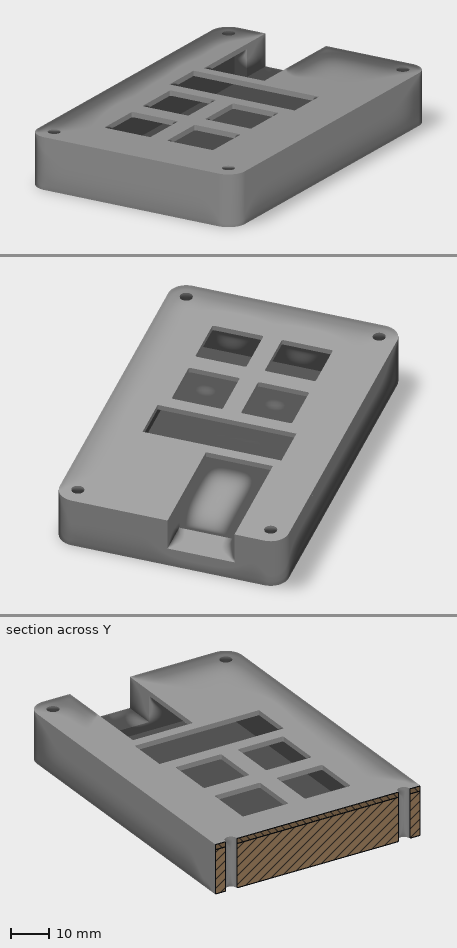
import cadquery as cq

width = 63.0
length = 97.3
height = 14.6
corner_radius = 5.0
lid_thickness = 1.5
base_height = height - lid_thickness

screw_diameter = 3.4
screw_pitch_x = width - 2 * corner_radius
screw_pitch_y = length - 2 * corner_radius

wall = 9.4
floor_thickness = 2.9
cavity_width = width - 2 * wall
cavity_length = length - 2 * wall

slot_width = 18.4
slot_length = 30.9
slot_center_x = -9.05
slot_floor = 5.45

panel_center_x = -0.5
display_width = 38.1
display_length = 12.2
display_center_y = 8.7
button_size = 14.0
button_corner_radius = 0.5
button_pitch = 19.1
button_center_y = -17.7
buttons_per_side = 2


def rounded_plate(bottom, thickness):
    """Plate with the outline of the case, drilled for the four screws."""
    return (
        cq.Workplane("XY")
        .workplane(offset=bottom)
        .rect(width, length)
        .extrude(thickness)
        .edges("|Z")
        .fillet(corner_radius)
        .faces(">Z")
        .workplane(origin=(0, 0, bottom + thickness))
        .rect(screw_pitch_x, screw_pitch_y, forConstruction=True)
        .vertices()
        .hole(screw_diameter)
    )


def upright_block(size_x, size_y, center_x, center_y, bottom):
    """Cutting block from the given level up to the top of the case."""
    return (
        cq.Workplane("XY")
        .workplane(offset=bottom)
        .center(center_x, center_y)
        .rect(size_x, size_y)
        .extrude(height - bottom)
    )


def connector_slot(slot_reach, bottom):
    """Cutting block running inward from the back edge."""
    return upright_block(slot_width, slot_reach, slot_center_x, (length - slot_reach) / 2, bottom)


def button_openings():
    """Square grid of button cutters with slightly rounded corners."""
    return (
        cq.Workplane("XY")
        .workplane(offset=base_height)
        .center(panel_center_x, button_center_y)
        .rarray(button_pitch, button_pitch, buttons_per_side, buttons_per_side)
        .rect(button_size, button_size)
        .extrude(lid_thickness)
        .edges("|Z")
        .fillet(button_corner_radius)
    )


def make_base():
    """Tray with a cavity and a notch through the back wall."""
    cavity = upright_block(cavity_width, cavity_length, 0, 0, floor_thickness)
    notch = connector_slot(wall, slot_floor)
    return rounded_plate(0, base_height).cut(cavity).cut(notch)


def make_lid():
    """Flat cover with the connector, display and button openings."""
    slot = connector_slot(slot_length, base_height)
    display = upright_block(display_width, display_length, panel_center_x, display_center_y, base_height)
    return rounded_plate(base_height, lid_thickness).cut(slot).cut(display).cut(button_openings())


base = make_base()
lid = make_lid()

result = cq.Compound.makeCompound([base.val(), lid.val()])